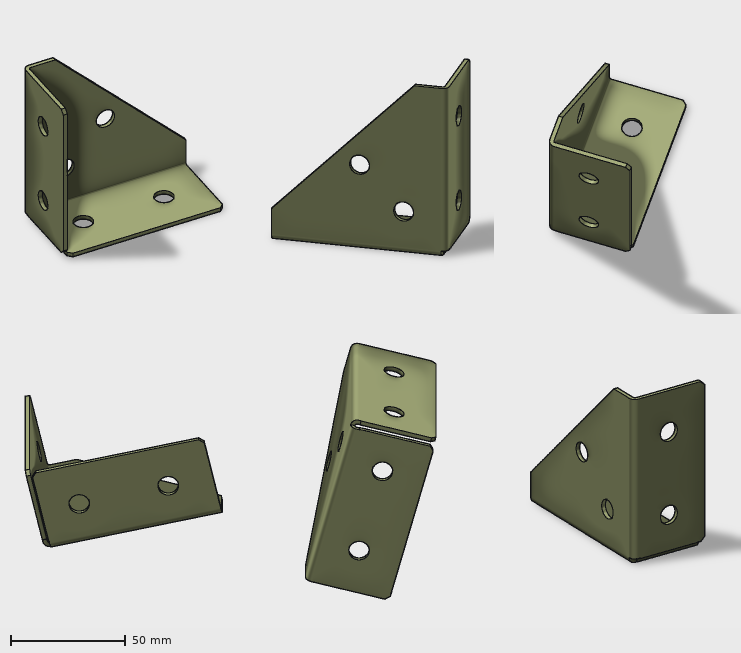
import cadquery as cq

LEG = 80.0
FLANGE_WIDTH = 38.0
THICKNESS = 2.0
INNER_RADIUS = THICKNESS / 2
WEB_END = 15.0
HOLE_DIAMETER = 9.0
HOLE_X = FLANGE_WIDTH / 2
HOLE_PLACES = (LEG / 4, LEG * 3 / 4)
WEB_HOLE_PLACES = (LEG / 4, LEG / 2)
CORNER_CHAMFER = 2.0
FLANGE_START = 2.8
STEP_X = 4.0

OUTER_RADIUS = INNER_RADIUS + THICKNESS
CUT_MARGIN = 0.8


def make_web():
    """Triangular web in the YZ plane, ending where the bends begin."""
    return (
        cq.Workplane("YZ")
        .moveTo(OUTER_RADIUS, OUTER_RADIUS)
        .lineTo(LEG, OUTER_RADIUS)
        .lineTo(LEG, WEB_END)
        .lineTo(WEB_END, LEG)
        .lineTo(OUTER_RADIUS, LEG)
        .close()
        .extrude(THICKNESS)
    )


def make_bend():
    """Quarter-round bend along Z, joining the web to the front flange."""
    bend = (
        cq.Workplane("XY")
        .center(OUTER_RADIUS, OUTER_RADIUS)
        .circle(OUTER_RADIUS)
        .circle(INNER_RADIUS)
        .extrude(LEG - OUTER_RADIUS)
    )
    quarter = cq.Workplane("XY").rect(OUTER_RADIUS, OUTER_RADIUS, centered=False).extrude(LEG)
    return bend.intersect(quarter).translate((0, 0, OUTER_RADIUS))


def make_front_flange():
    """Flat flange on the XZ plane with chamfered free corners and two holes."""
    flange = (
        cq.Workplane("XZ")
        .moveTo(OUTER_RADIUS, OUTER_RADIUS)
        .lineTo(STEP_X, OUTER_RADIUS)
        .lineTo(STEP_X, FLANGE_START)
        .lineTo(FLANGE_WIDTH - CORNER_CHAMFER, FLANGE_START)
        .lineTo(FLANGE_WIDTH, FLANGE_START + CORNER_CHAMFER)
        .lineTo(FLANGE_WIDTH, LEG - CORNER_CHAMFER)
        .lineTo(FLANGE_WIDTH - CORNER_CHAMFER, LEG)
        .lineTo(OUTER_RADIUS, LEG)
        .close()
        .extrude(-THICKNESS)
    )
    holes = (
        cq.Workplane("XZ", origin=(0, -CUT_MARGIN, 0))
        .pushPoints([(HOLE_X, place) for place in HOLE_PLACES])
        .circle(HOLE_DIAMETER / 2)
        .extrude(-(THICKNESS + 2 * CUT_MARGIN))
    )
    return flange.cut(holes)


web_holes = (
    cq.Workplane("YZ", origin=(-CUT_MARGIN, 0, 0))
    .pushPoints([(place, place) for place in WEB_HOLE_PLACES])
    .circle(HOLE_DIAMETER / 2)
    .extrude(THICKNESS + 2 * CUT_MARGIN)
)

front_side = make_bend().union(make_front_flange())
bottom_side = front_side.rotate((0, 0, 0), (1, 0, 0), 90).mirror("XZ")

result = make_web().cut(web_holes).union(front_side).union(bottom_side)